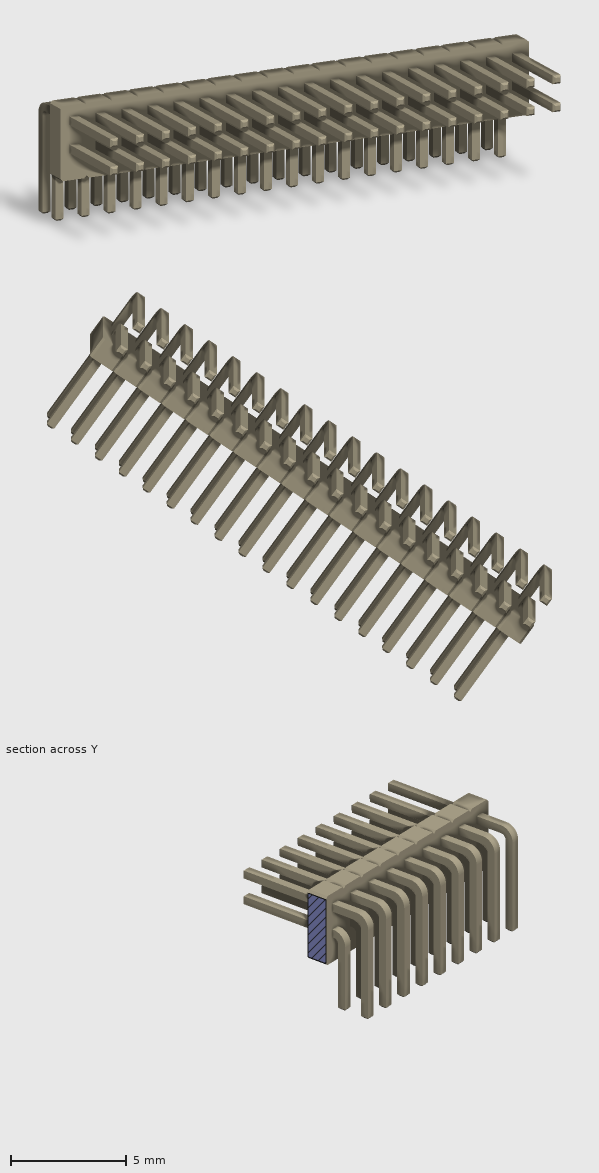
import cadquery as cq


pin_count = 18
row_count = 2
housing_length = 22.85
housing_thickness = 1.0
housing_height = 3.4
housing_chamfer = 0.11
housing_offset = 2.0
pin_width = 0.4
bend_radius = 0.65
tip_chamfer = 0.1
upper_row_depth = 0.7
overall_width = 6.97
overall_height = 5.62

pitch = housing_length / pin_count
half_pin = pin_width / 2


def housing_segment(y_center):
    """One pitch of the housing; its chamfered long edges form the notches between segments."""
    return (
        cq.Workplane("XY")
        .box(housing_thickness, pitch, housing_height, centered=(False, True, False))
        .edges("|X")
        .chamfer(housing_chamfer)
        .translate((housing_offset, y_center, -housing_height))
    )


def bent_pin(row, y_center):
    """Square L-shaped pin; row 0 is the outer pin, row 1 nests one pitch inside it."""
    outer_x = row * pitch
    inner_x = outer_x + pin_width
    top_z = -upper_row_depth + half_pin - row * pitch
    under_z = top_z - pin_width
    outline = (
        cq.Workplane("XZ", origin=(0, y_center, 0))
        .moveTo(outer_x, -overall_height)
        .lineTo(outer_x, top_z - bend_radius)
        .radiusArc((outer_x + bend_radius, top_z), bend_radius)
        .lineTo(overall_width, top_z)
        .lineTo(overall_width, under_z)
        .lineTo(outer_x + bend_radius, under_z)
        .radiusArc((inner_x, top_z - bend_radius), pin_width - bend_radius)
        .lineTo(inner_x, -overall_height)
        .close()
    )
    pin = outline.extrude(half_pin, both=True)
    return pin.faces(">X or <Z").chamfer(tip_chamfer)


housing = cq.Workplane("XY")
pins = cq.Workplane("XY")
for index in range(pin_count):
    station_y = (index - (pin_count - 1) / 2) * pitch
    housing.add(housing_segment(station_y))
    for row in range(row_count):
        pins.add(bent_pin(row, station_y))

segments = housing.vals()
body = segments[0].fuse(*segments[1:]).clean()
result = cq.Workplane(body.fuse(*pins.vals()))